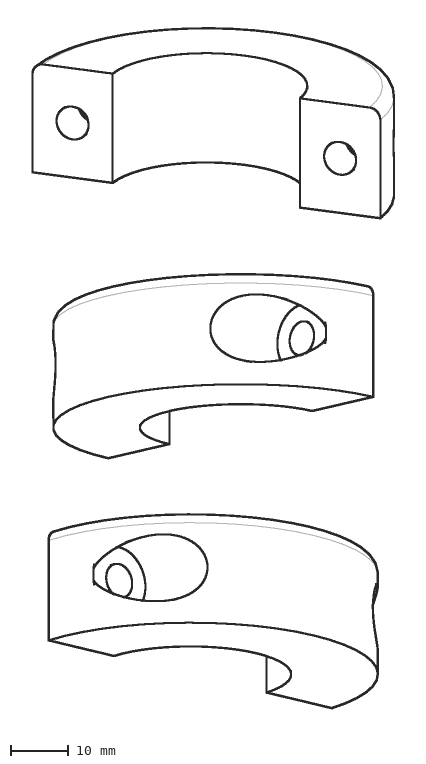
import cadquery as cq

outer_diameter = 65.0
bore_diameter = 35.0
height = 20.0
rim_fillet = 2.0

screw_spacing = 50.0
screw_hole_diameter = 6.0
counterbore_diameter = 12.0
seat_distance = 10.0

outer_radius = outer_diameter / 2


def half_ring():
    """Half of a ring on the +Y side, rounded along its upper outer rim."""
    disc = cq.Workplane("XY").circle(outer_radius).extrude(height)
    disc = disc.faces(">Z").edges().fillet(rim_fillet)
    ring = disc.cut(cq.Workplane("XY").circle(bore_diameter / 2).extrude(height))
    front_half = cq.Workplane("XY").box(
        outer_diameter, outer_radius, height, centered=(True, False, False)
    )
    return ring.intersect(front_half)


def screw_cylinders(diameter, start):
    """Cylinders on both screw axes, from Y = start out through the curved side."""
    return (
        cq.Workplane("XZ", origin=(0, start, height / 2))
        .pushPoints([(-screw_spacing / 2, 0), (screw_spacing / 2, 0)])
        .circle(diameter / 2)
        .extrude(start - outer_radius)
    )


result = (
    half_ring()
    .cut(screw_cylinders(screw_hole_diameter, 0))
    .cut(screw_cylinders(counterbore_diameter, seat_distance))
)